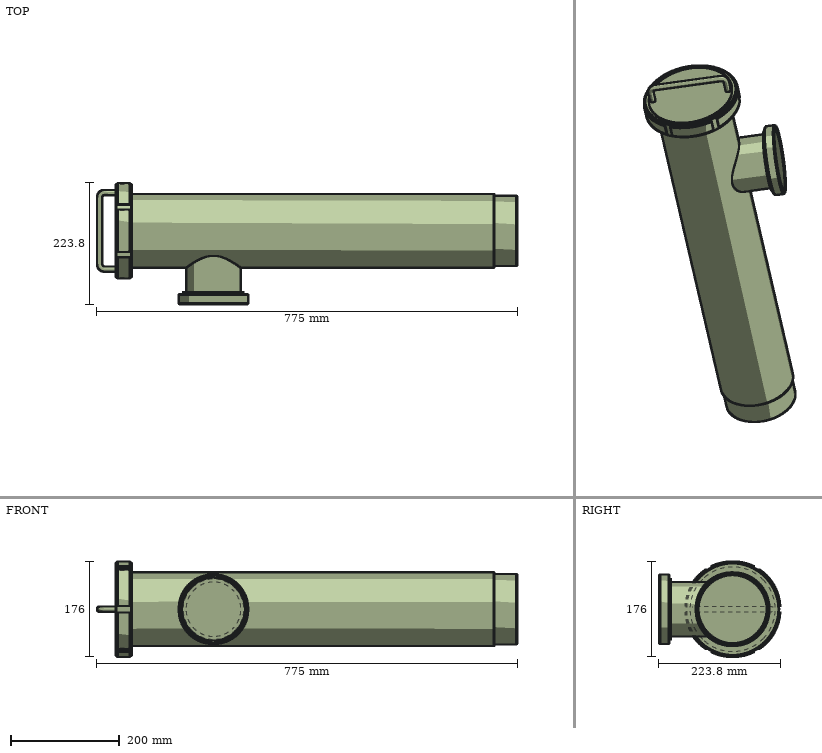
import cadquery as cq

overall_length = 775.0
pipe_radius = 68.0
pipe_end_x = 732.0
pipe_end_chamfer = 1.5
spigot_radius = 65.0
spigot_chamfer = 2.0

nut_start_x = 34.0
nut_length = 30.0
nut_radius = 86.0
nut_chamfer = 1.5
lid_radius = 78.0
lid_recess_depth = 1.0
pad_radius = 88.0
pad_length = 24.0
pad_chamfer = 1.5
pad_count = 6
pad_gap = 12.0

branch_x = 215.0
branch_radius = 50.0
branch_reach = 136.0
flange_radius = 64.0
flange_thickness = 19.0
flange_chamfer = 2.0
flange_face_radius = 58.0
flange_recess_depth = 2.0
collar_radius = 56.0
collar_thickness = 3.0

rod_radius = 5.0
handle_half_span = 70.5
handle_bend_radius = 8.5


def x_cylinder(start_x, length, radius):
    """Solid cylinder on the X axis."""
    return cq.Workplane("YZ", origin=(start_x, 0, 0)).circle(radius).extrude(length)


def branch_cylinder(outer_reach, length, radius):
    """Solid cylinder on the branch axis, from its outer end back toward the pipe."""
    plane = cq.Plane(origin=(branch_x, -outer_reach, 0), xDir=(1, 0, 0), normal=(0, 1, 0))
    return cq.Workplane(plane).circle(radius).extrude(length)


def make_pipe():
    body = x_cylinder(nut_start_x, pipe_end_x - nut_start_x, pipe_radius)
    body = body.faces(">X").chamfer(pipe_end_chamfer)
    spigot = x_cylinder(nut_start_x, overall_length - nut_start_x, spigot_radius)
    return body.union(spigot.faces(">X").chamfer(spigot_chamfer))


def make_nut():
    nut = x_cylinder(nut_start_x, nut_length, nut_radius).faces("<X or >X").chamfer(nut_chamfer)
    pad_start_x = nut_start_x + (nut_length - pad_length) / 2
    pads = x_cylinder(pad_start_x, pad_length, pad_radius).faces("<X or >X").chamfer(pad_chamfer)
    gap_cutter = cq.Workplane("XY").box(pad_length, pad_radius, pad_gap)
    gap_cutter = gap_cutter.translate((pad_start_x + pad_length / 2, -pad_radius, 0))
    for index in range(pad_count):
        angle = index * 360 / pad_count
        pads = pads.cut(gap_cutter.rotate((0, 0, 0), (1, 0, 0), angle))
    return nut.union(pads)


def make_branch():
    neck = branch_cylinder(branch_reach, branch_reach, branch_radius)
    flange = branch_cylinder(branch_reach, flange_thickness, flange_radius)
    flange = flange.faces("<Y or >Y").chamfer(flange_chamfer)
    collar = branch_cylinder(branch_reach, flange_thickness + collar_thickness, collar_radius)
    return neck.union(flange).union(collar)


def make_handle():
    """U-shaped round rod in the XY plane, with both legs set into the nut."""
    bar_x = rod_radius
    root_x = nut_start_x + rod_radius
    bend_x = bar_x + handle_bend_radius
    bar_end_y = handle_half_span - handle_bend_radius
    path = (
        cq.Workplane("XY")
        .moveTo(root_x, -handle_half_span)
        .lineTo(bend_x, -handle_half_span)
        .radiusArc((bar_x, -bar_end_y), handle_bend_radius)
        .lineTo(bar_x, bar_end_y)
        .radiusArc((bend_x, handle_half_span), handle_bend_radius)
        .lineTo(root_x, handle_half_span)
    )
    profile = cq.Workplane("YZ", origin=(root_x, -handle_half_span, 0)).circle(rod_radius)
    return profile.sweep(path)


lid_recess = x_cylinder(nut_start_x, lid_recess_depth, lid_radius)
flange_recess = branch_cylinder(branch_reach, flange_recess_depth, flange_face_radius)

result = make_pipe().union(make_nut()).union(make_branch())
result = result.cut(lid_recess).cut(flange_recess).union(make_handle())